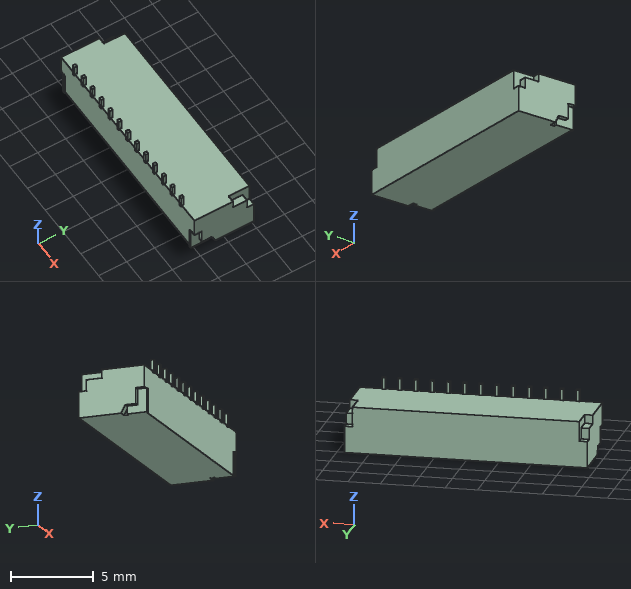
import cadquery as cq

length = 15.0
overall_depth = 4.32
overall_height = 3.6
metal_proud = 0.06
body_depth = overall_depth - metal_proud
body_height = 2.9

pin_count = 13
pin_pitch = length / 15
sheet_thickness = pin_pitch / 5
pin_sink = 0.09

recess_width = pin_pitch / 2
step = pin_pitch / 2
front_step = 0.54
long_leg = 3 * step
rear_shelf_depth = 0.54
rear_drop = 1.23
front_floor_depth = 1.23
front_slope_run = 0.27

rear_recess_outline = [
    (body_depth, body_height),
    (body_depth - long_leg, body_height),
    (body_depth - long_leg, body_height - rear_shelf_depth),
    (body_depth - step, body_height - rear_shelf_depth),
    (body_depth - step, body_height - rear_drop),
    (body_depth, body_height - rear_drop),
]

front_recess_outline = [
    (0, 0),
    (0, long_leg),
    (front_step, long_leg),
    (front_step, step),
    (front_floor_depth, step),
    (front_floor_depth + front_slope_run, 0),
]

tab_outline = [
    (-metal_proud, 0),
    (-metal_proud, long_leg),
    (front_step, long_leg),
    (front_step, step),
    (front_floor_depth, step),
    (front_floor_depth, 0),
]


def end_prism(outline, start, thickness):
    """Extrude a Y-Z outline along +X from a given X position."""
    return cq.Workplane("YZ", origin=(start, 0, 0)).polyline(outline).close().extrude(thickness)


def both_ends(outline, inset, thickness):
    """A prism set inward from the left end face, with its mirror image at the right end."""
    left = end_prism(outline, inset - length / 2, thickness)
    return left.union(left.mirror("YZ"))


def pin_row():
    positions = [((i - (pin_count - 1) / 2) * pin_pitch, -metal_proud) for i in range(pin_count)]
    pin_bottom = body_height - pin_sink
    return (
        cq.Workplane("XY", origin=(0, sheet_thickness / 2, pin_bottom))
        .pushPoints(positions)
        .rect(sheet_thickness, sheet_thickness)
        .extrude(overall_height - pin_bottom)
    )


housing = cq.Workplane("XY").box(length, body_depth, body_height, centered=(True, False, False))
housing = housing.cut(both_ends(rear_recess_outline, 0, recess_width))
housing = housing.cut(both_ends(front_recess_outline, 0, recess_width))

solder_tabs = both_ends(tab_outline, recess_width - sheet_thickness, sheet_thickness)

result = housing.union(solder_tabs).union(pin_row())